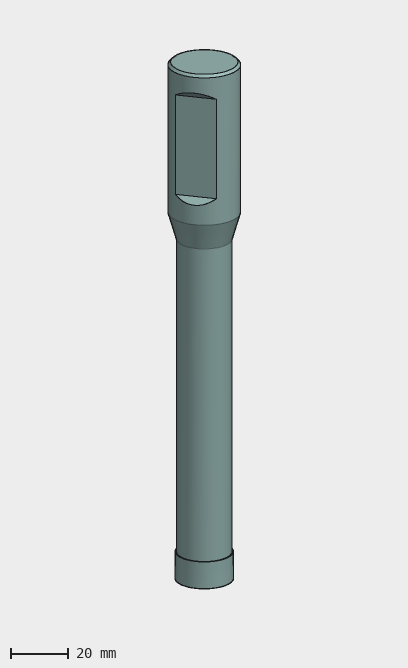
import cadquery as cq
import math

TOTAL_LENGTH = 196.5

HEAD_DIAMETER = 25.3
NECK_DIAMETER = 19.5
HEAD_LENGTH = 56.0
TAPER_LENGTH = 10.0
TOP_CHAMFER = 1.0

FLAT_DEPTH = 2.4
FLAT_LENGTH = 37.1
FLAT_TOP_OFFSET = 9.2
FLAT_END_ANGLE = 45.0

TIP_DIAMETER = 20.5
COLLAR_TOP_DIAMETER = 20.2
COLLAR_LENGTH = 10.0
POINT_ANGLE = 140.0

head_radius = HEAD_DIAMETER / 2
neck_radius = NECK_DIAMETER / 2
tip_radius = TIP_DIAMETER / 2
collar_top_radius = COLLAR_TOP_DIAMETER / 2
head_bottom = TOTAL_LENGTH - HEAD_LENGTH
neck_top = head_bottom - TAPER_LENGTH
point_height = tip_radius / math.tan(math.radians(POINT_ANGLE / 2))
collar_top = point_height + COLLAR_LENGTH


def revolve_about_z(profile_points):
    """Turn a closed (radius, z) outline around the Z axis."""
    return cq.Workplane("XZ").polyline(profile_points).close().revolve(360, (0, 0), (0, 1))


def make_flat_cutter():
    """Bar with sloped ends that cuts the clamping flat; it spans the head in X."""
    floor_y = FLAT_DEPTH - head_radius
    outer_y = -HEAD_DIAMETER
    end_run = (floor_y - outer_y) / math.tan(math.radians(FLAT_END_ANGLE))
    floor_top = TOTAL_LENGTH - FLAT_TOP_OFFSET
    floor_bottom = floor_top - FLAT_LENGTH
    outline = [
        (floor_y, floor_bottom),
        (floor_y, floor_top),
        (outer_y, floor_top + end_run),
        (outer_y, floor_bottom - end_run),
    ]
    return cq.Workplane("YZ").polyline(outline).close().extrude(head_radius, both=True)


def make_shank():
    """Round shank with chamfered head, taper, neck and clamping flat."""
    profile = [
        (0, collar_top),
        (neck_radius, collar_top),
        (neck_radius, neck_top),
        (head_radius, head_bottom),
        (head_radius, TOTAL_LENGTH),
        (0, TOTAL_LENGTH),
    ]
    body = revolve_about_z(profile).faces(">Z").chamfer(TOP_CHAMFER)
    return body.cut(make_flat_cutter())


def make_drill_tip():
    """Collar seated against the end of the neck, with its point facing down."""
    profile = [
        (0, 0),
        (tip_radius, point_height),
        (collar_top_radius, collar_top),
        (0, collar_top),
    ]
    return revolve_about_z(profile)


shank = make_shank()
drill_tip = make_drill_tip()

result = cq.Compound.makeCompound([shank.val(), drill_tip.val()])